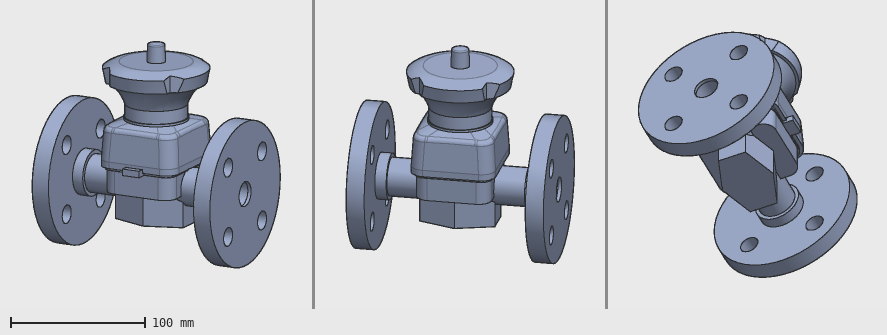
import cadquery as cq
import math


overall_length = 150.0
pipe_radius = 14.6
bore_radius = 9.4
flange_radius = 55.4
flange_thickness = 13.8
hub_radius = 17.5
hub_length = 8.6
socket_shoulder = 2.8
bolt_spacing = 53.3
bolt_hole_diameter = 14.1

block_half_x = 28.5
block_half_y = 31.3
block_corner = 10.0
block_bottom = -4.5
foot_bottom = -29.4
foot_ridge_y = 20.8
foot_slope = 19

bonnet_half_x = 32.0
bonnet_half_y = 34.8
bonnet_corner = 10.7
skirt_bottom = 15.6
skirt_top = 20.6
shoulder_z = 45.6
bonnet_draft = 1.55
shoulder_fillet = 4.0
edge_tolerance = 0.2
neck_radius = 24.4
neck_bottom = 48.7
bonnet_top = 50.5
neck_patch_angle = 30

diaphragm_bottom = 13.3
diaphragm_top = 18.4
diaphragm_inset = 3.0
tab_width = 14.0
tab_end_y = 40.0

hub_cylinder_radius = 23.5
hub_cylinder_top = 60.4
flare_radius = 35.7
flare_arc = 30.9
rim_bottom = 77.6
rim_bottom_radius = 38.0
rim_top = 88.2
rim_top_radius = 40.1
wheel_top = 92.7
flat_top_radius = 27.6
notch_count = 4
first_notch_angle = 45
notch_radius = 36.2
notch_leg = 13.0
notch_wide_angle = 75
notch_narrow_angle = 60
stem_base_radius = 7.0
stem_top_radius = 6.5
stem_rounding = 1.0
stem_shoulder = 105.4
stem_dome_height = 0.6


def polar(radius, degrees):
    angle = math.radians(degrees)
    return radius * math.cos(angle), radius * math.sin(angle)


def rounded_block(half_x, half_y, corner, bottom, top):
    block = cq.Workplane("XY").workplane(offset=bottom).rect(2 * half_x, 2 * half_y)
    return block.extrude(top - bottom).edges("|Z").fillet(corner)


def x_cylinder(radius, start, end):
    return cq.Workplane("YZ").workplane(offset=start).circle(radius).extrude(end - start)


def make_valve_body(diaphragm):
    pipe_end = overall_length / 2 - socket_shoulder
    foot_side_y = foot_ridge_y - block_half_x * math.tan(math.radians(foot_slope))
    foot = (
        cq.Workplane("XY").workplane(offset=foot_bottom)
        .moveTo(0, foot_ridge_y)
        .lineTo(block_half_x, foot_side_y)
        .lineTo(block_half_x, -foot_side_y)
        .lineTo(0, -foot_ridge_y)
        .lineTo(-block_half_x, -foot_side_y)
        .lineTo(-block_half_x, foot_side_y)
        .close()
        .extrude(block_bottom - foot_bottom)
    )
    block = rounded_block(block_half_x, block_half_y, block_corner, block_bottom, diaphragm_bottom)
    pipe = x_cylinder(pipe_radius, -pipe_end, pipe_end)
    bore = x_cylinder(bore_radius, -pipe_end, pipe_end)
    return block.union(foot).union(pipe).cut(diaphragm).cut(bore)


def make_flange(side):
    outer_face = side * overall_length / 2
    inner_face = outer_face - side * flange_thickness
    hub_end = inner_face - side * hub_length
    pipe_end = outer_face - side * socket_shoulder
    disc = x_cylinder(flange_radius, inner_face, outer_face)
    bolt_holes = (
        cq.Workplane("YZ").workplane(offset=inner_face)
        .rect(bolt_spacing, bolt_spacing, forConstruction=True).vertices()
        .circle(bolt_hole_diameter / 2)
        .extrude(outer_face - inner_face)
    )
    hub = x_cylinder(hub_radius, hub_end, inner_face)
    socket = x_cylinder(pipe_radius, hub_end, pipe_end)
    bore = x_cylinder(bore_radius, hub_end, outer_face)
    return disc.cut(bolt_holes).union(hub).cut(socket).cut(bore)


def make_diaphragm():
    sheet = rounded_block(
        bonnet_half_x - diaphragm_inset,
        bonnet_half_y - diaphragm_inset,
        bonnet_corner - diaphragm_inset,
        diaphragm_bottom,
        diaphragm_top,
    )
    tab = (
        cq.Workplane("XY").workplane(offset=diaphragm_bottom)
        .center(0, -tab_end_y / 2)
        .rect(tab_width, tab_end_y)
        .extrude(diaphragm_top - diaphragm_bottom)
    )
    return sheet.union(tab)


def rounded_outline(half_x, half_y, corner, z):
    flat_x = half_x - corner
    flat_y = half_y - corner
    arc_x = flat_x + corner * math.sqrt(0.5)
    arc_y = flat_y + corner * math.sqrt(0.5)
    return (
        cq.Workplane("XY").workplane(offset=z)
        .moveTo(half_x, -flat_y)
        .lineTo(half_x, flat_y)
        .threePointArc((arc_x, arc_y), (flat_x, half_y))
        .lineTo(-flat_x, half_y)
        .threePointArc((-arc_x, arc_y), (-half_x, flat_y))
        .lineTo(-half_x, -flat_y)
        .threePointArc((-arc_x, -arc_y), (-flat_x, -half_y))
        .lineTo(flat_x, -half_y)
        .threePointArc((arc_x, -arc_y), (half_x, -flat_y))
        .close()
        .val()
    )


def neck_outline(z):
    """Circle split into eight arcs, one for each side and corner of the bonnet outline."""
    ring = cq.Workplane("XY").workplane(offset=z).moveTo(*polar(neck_radius, -neck_patch_angle))
    for quarter in range(0, 360, 90):
        side_end = quarter + neck_patch_angle
        corner_end = quarter + 90 - neck_patch_angle
        ring = ring.threePointArc(polar(neck_radius, quarter), polar(neck_radius, side_end))
        ring = ring.threePointArc(polar(neck_radius, quarter + 45), polar(neck_radius, corner_end))
    return ring.wire().val()


def make_bonnet(diaphragm):
    skirt = rounded_block(bonnet_half_x, bonnet_half_y, bonnet_corner, skirt_bottom, skirt_top)
    skirt_outline = rounded_outline(bonnet_half_x, bonnet_half_y, bonnet_corner, skirt_top)
    shoulder_outline = rounded_outline(
        bonnet_half_x - bonnet_draft, bonnet_half_y - bonnet_draft, bonnet_corner, shoulder_z
    )
    walls = cq.Workplane(obj=cq.Solid.makeLoft([skirt_outline, shoulder_outline], ruled=True))
    neck_ring = neck_outline(neck_bottom)
    slope = cq.Workplane(obj=cq.Solid.makeLoft([shoulder_outline, neck_ring], ruled=True))
    shell = walls.union(slope)
    shoulder_edges = cq.selectors.BoxSelector(
        (-bonnet_half_x, -bonnet_half_y, shoulder_z - edge_tolerance),
        (bonnet_half_x, bonnet_half_y, shoulder_z + edge_tolerance),
    )
    shell = shell.edges(shoulder_edges).fillet(shoulder_fillet)
    neck = cq.Workplane("XY").workplane(offset=neck_bottom).circle(neck_radius)
    neck = neck.extrude(bonnet_top - neck_bottom)
    return skirt.union(shell).union(neck).cut(diaphragm)


def make_wheel_blank():
    dome_drop = wheel_top - rim_top
    dome_run = rim_top_radius - flat_top_radius
    dome_arc = (dome_drop**2 + dome_run**2) / (2 * dome_drop)
    return (
        cq.Workplane("XZ")
        .moveTo(0, bonnet_top)
        .lineTo(hub_cylinder_radius, bonnet_top)
        .lineTo(hub_cylinder_radius, hub_cylinder_top)
        .radiusArc((flare_radius, rim_bottom), flare_arc)
        .lineTo(rim_bottom_radius, rim_bottom)
        .lineTo(rim_top_radius, rim_top)
        .radiusArc((flat_top_radius, wheel_top), -dome_arc)
        .lineTo(0, wheel_top)
        .close()
        .revolve(360, (0, 0), (0, 1))
    )


def make_rim_notch(degrees):
    """Uneven V-shaped cutter whose edge stands parallel to the stem, at the given angle."""
    edge = polar(notch_radius, degrees)
    wide = polar(notch_leg, degrees + notch_wide_angle)
    narrow = polar(notch_leg, degrees - notch_narrow_angle)
    return (
        cq.Workplane("XY").workplane(offset=rim_bottom)
        .polyline([
            edge,
            (edge[0] + wide[0], edge[1] + wide[1]),
            (edge[0] + narrow[0], edge[1] + narrow[1]),
        ])
        .close()
        .extrude(wheel_top - rim_bottom)
    )


def make_stem():
    dome_radius = stem_top_radius - stem_rounding
    dome_bottom = stem_shoulder + stem_rounding
    dome_arc = (dome_radius**2 + stem_dome_height**2) / (2 * stem_dome_height)
    return (
        cq.Workplane("XZ")
        .moveTo(0, wheel_top)
        .lineTo(stem_base_radius, wheel_top)
        .lineTo(stem_top_radius, stem_shoulder)
        .radiusArc((dome_radius, dome_bottom), -stem_rounding)
        .radiusArc((0, dome_bottom + stem_dome_height), -dome_arc)
        .close()
        .revolve(360, (0, 0), (0, 1))
    )


def make_handwheel():
    wheel = make_wheel_blank()
    for index in range(notch_count):
        wheel = wheel.cut(make_rim_notch(first_notch_angle + index * 360 / notch_count))
    return wheel.union(make_stem())


diaphragm = make_diaphragm()
valve_body = make_valve_body(diaphragm)
bonnet = make_bonnet(diaphragm)
handwheel = make_handwheel()
flanges = [make_flange(side) for side in (-1, 1)]

result = cq.Compound.makeCompound([
    valve_body.val(),
    diaphragm.val(),
    bonnet.val(),
    handwheel.val(),
    *[flange.val() for flange in flanges],
])